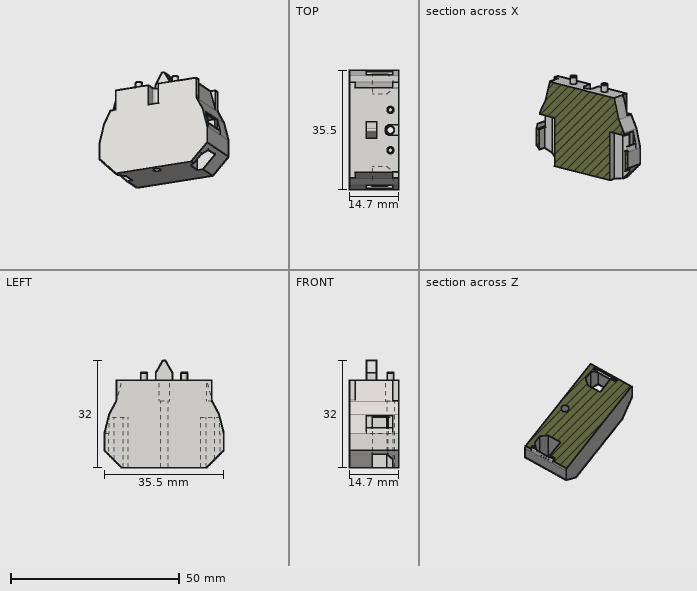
import cadquery as cq
import math

WIDTH = 14.7
LENGTH = 35.54
OVERALL_HEIGHT = 32.0
BODY_TOP = 26.1
HALF_LENGTH = LENGTH / 2

BASE_HALF_LENGTH = 12.55
LOWER_BEVEL_TOP = HALF_LENGTH - BASE_HALF_LENGTH
END_FACE_TOP = 10.35
UPPER_BEVEL_HALF_LENGTH = 16.3
UPPER_BEVEL_TOP = 16.0
SHOULDER_HALF_LENGTH = 14.3
SHOULDER_HEIGHT = 19.77
NECK_TOP_HALF_LENGTH = 12.57

CORNER_HALF_LENGTH = 14.18
LEFT_CORNER_WIDTH = 1.75
RIGHT_CORNER_X = 12.95
CUT_CORNER_HALF_LENGTH = 12.45
CUT_CORNER_FLOOR = 20.0

WINDOW_LEFT_X = 4.95
WINDOW_BOTTOM = END_FACE_TOP
WINDOW_TOP = 15.5
WINDOW_OUTER_Y = 17.36
WINDOW_INNER_Y = 16.4

WELL_LEFT_X = 6.8
WELL_RIGHT_X = RIGHT_CORNER_X
WELL_BACK_RIGHT_X = 11.05
WELL_TOP = 15.06
WELL_OUTER_Y = 16.55
WELL_INNER_Y = 10.75
WELL_INNER_CORNER_Y = 12.35
WELL_OUTER_CHAMFER = 1.6

FIXING_X = 12.2
FIXING_HOLE_DIAMETER = 2.2
FIXING_RECESS_WIDTH = 3.2
FIXING_RECESS_FLOOR = CUT_CORNER_FLOOR

PIN_DIAMETER = 2.0
PIN_HEIGHT = 2.3
PIN_CHAMFER = 0.25
PIN_Y = 6.0

LEVER_LEFT_X = 5.05
LEVER_WIDTH = 3.05
LEVER_HALF_LENGTH = 2.5
LEVER_SLOPE = math.radians(60)
LEVER_TIP_RADIUS = 0.6


def extrude_along_x(outline, x_start, width):
    """Extrude a closed workplane outline drawn in (Y, Z) along +X."""
    return outline.extrude(width).translate((x_start, 0, 0))


def box_between(x_range, y_range, z_range):
    """Box spanning the given ranges on each axis."""
    size = [high - low for low, high in (x_range, y_range, z_range)]
    corner = (x_range[0], y_range[0], z_range[0])
    return cq.Workplane("XY").box(*size, centered=False).translate(corner)


def make_housing():
    """Faceted housing with a tapering neck, three corner blocks and one cut-back corner."""
    half_profile = [
        (BASE_HALF_LENGTH, 0),
        (HALF_LENGTH, LOWER_BEVEL_TOP),
        (HALF_LENGTH, END_FACE_TOP),
        (UPPER_BEVEL_HALF_LENGTH, UPPER_BEVEL_TOP),
        (SHOULDER_HALF_LENGTH, SHOULDER_HEIGHT),
        (NECK_TOP_HALF_LENGTH, BODY_TOP),
    ]
    mirrored_profile = [(-y, z) for y, z in reversed(half_profile)]
    outline = cq.Workplane("YZ").polyline(half_profile + mirrored_profile).close()
    housing = extrude_along_x(outline, 0, WIDTH)

    block_heights = (SHOULDER_HEIGHT, BODY_TOP)
    left_range = (0, LEFT_CORNER_WIDTH)
    right_range = (RIGHT_CORNER_X, WIDTH)
    full_length = (-CORNER_HALF_LENGTH, CORNER_HALF_LENGTH)
    housing = housing.union(box_between(left_range, full_length, block_heights))
    housing = housing.union(box_between(right_range, (0, CORNER_HALF_LENGTH), block_heights))

    cut_lengths = (-HALF_LENGTH, -CUT_CORNER_HALF_LENGTH)
    return housing.cut(box_between(right_range, cut_lengths, (CUT_CORNER_FLOOR, BODY_TOP)))


def make_terminal_opening():
    """Window and terminal well of the -Y end, which meet inside the housing."""
    window = box_between(
        (WINDOW_LEFT_X, RIGHT_CORNER_X),
        (-WINDOW_OUTER_Y, -WINDOW_INNER_Y),
        (WINDOW_BOTTOM, WINDOW_TOP),
    )
    well_plan = [
        (WELL_LEFT_X, -WELL_OUTER_Y),
        (WELL_RIGHT_X - WELL_OUTER_CHAMFER, -WELL_OUTER_Y),
        (WELL_RIGHT_X, -WELL_OUTER_Y + WELL_OUTER_CHAMFER),
        (WELL_RIGHT_X, -WELL_INNER_CORNER_Y),
        (WELL_BACK_RIGHT_X, -WELL_INNER_Y),
        (WELL_LEFT_X, -WELL_INNER_Y),
    ]
    well = cq.Workplane("XY").polyline(well_plan).close().extrude(WELL_TOP)
    return window.union(well)


def make_fixing_cutter():
    """Through hole and the round-ended recess above it, open to the +X side."""
    half_width = FIXING_RECESS_WIDTH / 2
    heights = (FIXING_RECESS_FLOOR, BODY_TOP)
    depth = BODY_TOP - FIXING_RECESS_FLOOR
    hole = cq.Workplane("XY").center(FIXING_X, 0).circle(FIXING_HOLE_DIAMETER / 2).extrude(BODY_TOP)
    round_end = (
        cq.Workplane("XY", origin=(FIXING_X, 0, FIXING_RECESS_FLOOR)).circle(half_width).extrude(depth)
    )
    open_side = box_between((FIXING_X, WIDTH), (-half_width, half_width), heights)
    return hole.union(round_end).union(open_side)


def make_pin(y):
    """Chamfered round pin standing on the top face."""
    pin = cq.Workplane("XY", origin=(FIXING_X, y, BODY_TOP)).circle(PIN_DIAMETER / 2).extrude(PIN_HEIGHT)
    return pin.faces(">Z").chamfer(PIN_CHAMFER)


def make_lever():
    """Lever whose sloping flanks run tangent into the rounded tip."""
    tip_center_z = OVERALL_HEIGHT - LEVER_TIP_RADIUS
    tangent_y = LEVER_TIP_RADIUS * math.sin(LEVER_SLOPE)
    tangent_z = tip_center_z + LEVER_TIP_RADIUS * math.cos(LEVER_SLOPE)
    flank_base_z = tangent_z - (LEVER_HALF_LENGTH - tangent_y) * math.tan(LEVER_SLOPE)
    outline = (
        cq.Workplane("YZ")
        .moveTo(-LEVER_HALF_LENGTH, BODY_TOP)
        .lineTo(LEVER_HALF_LENGTH, BODY_TOP)
        .lineTo(LEVER_HALF_LENGTH, flank_base_z)
        .lineTo(tangent_y, tangent_z)
        .threePointArc((0, OVERALL_HEIGHT), (-tangent_y, tangent_z))
        .lineTo(-LEVER_HALF_LENGTH, flank_base_z)
        .close()
    )
    return extrude_along_x(outline, LEVER_LEFT_X, LEVER_WIDTH)


terminal_opening = make_terminal_opening()
result = make_housing().cut(terminal_opening).cut(terminal_opening.mirror("XZ"))
result = result.cut(make_fixing_cutter())
for pin_y in (-PIN_Y, PIN_Y):
    result = result.union(make_pin(pin_y))
result = result.union(make_lever())